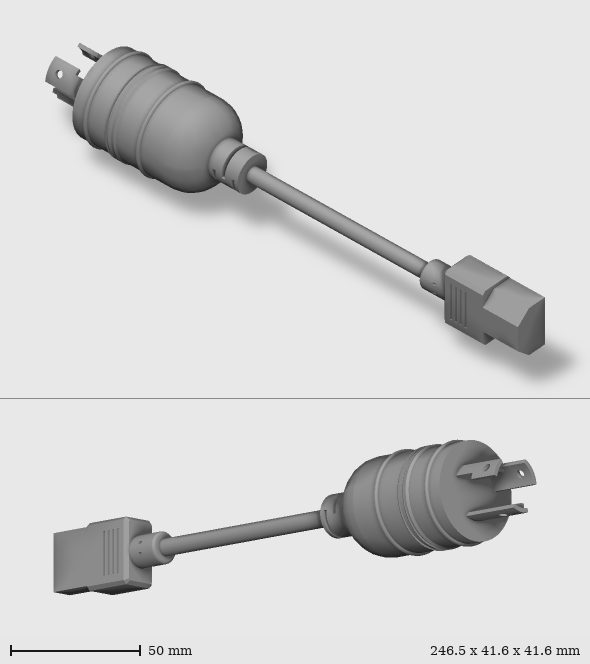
import cadquery as cq
import math


total_length = 246.5

rib_diameter = 41.6
rib_height = 1.0
rib_radius = rib_diameter / 2
housing_radius = rib_radius - rib_height
dome_start = 46.8
dome_end = 60.4

rib_positions = (7.0, 34.2)
rib_half_width = 1.0

lip_height = 0.7
lip_width = 1.0
front_lip_edge = 17.7
rear_lip_edges = (19.2, 22.0)

blade_inner_radius = 10.0
blade_outer_radius = 11.8
blade_thickness = blade_outer_radius - blade_inner_radius
line_blade_reach = 21.5
ground_blade_reach = 25.6
lug_length = 12.3
wide_blade_angles = (132, 174)
wide_lug_angles = (119, 174)
narrow_blade_angles = (22, 48)
narrow_lug_angles = (9, 48)
ground_blade_angles = (-104, -64)
hook_outer_y = -5.0
hook_bottom_z = -10.0
hook_top_z = -7.1
blade_hole_radius = 1.7
blade_hole_x = -16.0
ground_hole_y = 1.0

relief_radius = 8.6
relief_end = 75.6
slot_width = 1.7
slot_past_axis = 1.0
middle_slot_x = 68.2
slot_pitch = 5.0

cable_radius = 3.5

boss_start = 167.8
boss_radius = 6.5
boss_rim_fillet = 1.2
pocket_x = 175.7
pocket_length = 1.7
pocket_height = 1.0
pocket_z = 2.2
pocket_floor_y = 5.2

body_start = 181.3
body_end = 202.5
body_width = 15.5
body_height = 26.5
body_chamfer = 1.5
nose_end = total_length - ground_blade_reach
nose_height = 23.2
nose_bevel_width = 6.5
nose_bevel_height = 5.7

grip_count = 4
grip_first_x = 186.0
grip_pitch = 2.5
grip_width = 1.0
grip_height = 17.5
grip_depth = 0.5


def cross_plane(x):
    """Plane across the cable axis, with local axes along Y and Z."""
    return cq.Workplane("YZ", origin=(x, 0, 0))


def rod(radius, start, end):
    """Cylinder on the X axis."""
    plane = cq.Plane(origin=(start, 0, 0), xDir=(0, 0, 1), normal=(1, 0, 0))
    return cq.Workplane(plane).circle(radius).extrude(end - start)


def block(x_range, y_range, z_range):
    """Box between the given limits."""
    sizes = [high - low for low, high in (x_range, y_range, z_range)]
    corner = [low for low, high in (x_range, y_range, z_range)]
    return cq.Workplane("XY").box(*sizes, centered=False).translate(tuple(corner))


def around(center, length):
    """Limits of a length centred on a position."""
    return (center - length / 2, center + length / 2)



def add_rib(profile, x):
    return profile.lineTo(x - rib_half_width, -housing_radius).threePointArc(
        (x, -rib_radius), (x + rib_half_width, -housing_radius)
    )


def add_lip(profile, upright_x, slope_x):
    """Sawtooth between its upright side and the foot of its slope, drawn in order of X."""
    tip = (upright_x, -housing_radius - lip_height)
    start_x, end_x = sorted((upright_x, slope_x))
    return profile.lineTo(start_x, -housing_radius).lineTo(*tip).lineTo(end_x, -housing_radius)


def make_housing_shell():
    front_rib, rear_rib = rib_positions
    profile = cq.Workplane("XY").lineTo(0, -housing_radius)
    profile = add_rib(profile, front_rib)
    profile = add_lip(profile, front_lip_edge, front_lip_edge - lip_width)
    for edge in rear_lip_edges:
        profile = add_lip(profile, edge, edge + lip_width)
    profile = add_rib(profile, rear_rib)
    profile = (
        profile.lineTo(dome_start, -housing_radius)
        .tangentArcPoint((dome_end, -relief_radius), relative=False)
        .lineTo(dome_end, 0)
        .close()
    )
    return profile.revolve(360, (0, 0, 0), (1, 0, 0))


def ring_point(radius, angle):
    return (radius * math.cos(math.radians(angle)), radius * math.sin(math.radians(angle)))


def ring_sector(angles, start, end):
    """Arc-shaped strip of the blade ring between two angles and two X positions."""
    first, last = angles
    middle = (first + last) / 2
    return (
        cross_plane(start)
        .moveTo(*ring_point(blade_inner_radius, first))
        .threePointArc(ring_point(blade_inner_radius, middle), ring_point(blade_inner_radius, last))
        .lineTo(*ring_point(blade_outer_radius, last))
        .threePointArc(ring_point(blade_outer_radius, middle), ring_point(blade_outer_radius, first))
        .close()
        .extrude(end - start)
    )


def make_line_blade(blade_angles, lug_angles):
    """Blade with a wider lug at its tip and a radial hole through the lug."""
    blade = ring_sector(blade_angles, -line_blade_reach, 0)
    lug = ring_sector(lug_angles, -line_blade_reach, lug_length - line_blade_reach)
    hole = (
        cq.Workplane("XZ", origin=(blade_hole_x, 0, 0))
        .circle(blade_hole_radius)
        .extrude(-housing_radius)
        .rotate((0, 0, 0), (1, 0, 0), sum(lug_angles) / 2)
    )
    return blade.union(lug).cut(hole)


def make_ground_blade():
    """Longer blade with an inward hook along one edge and a vertical hole."""
    blade = ring_sector(ground_blade_angles, -ground_blade_reach, 0)
    lug_x = (-line_blade_reach, lug_length - line_blade_reach)
    foot_end_angle = math.degrees(math.asin(hook_outer_y / blade_outer_radius)) - 90
    foot = ring_sector((foot_end_angle, sum(ground_blade_angles) / 2), *lug_x)
    hook = block(lug_x, (hook_outer_y, hook_outer_y + blade_thickness), (hook_bottom_z, hook_top_z))
    hole = (
        cq.Workplane("XY", origin=(blade_hole_x, ground_hole_y, 0))
        .circle(blade_hole_radius)
        .extrude(-housing_radius)
    )
    return blade.union(foot).union(hook).cut(hole)


def make_plug():
    plug = make_housing_shell()
    plug = plug.union(make_line_blade(wide_blade_angles, wide_lug_angles))
    plug = plug.union(make_line_blade(narrow_blade_angles, narrow_lug_angles))
    return plug.union(make_ground_blade())



def make_strain_relief():
    relief = rod(relief_radius, dome_end, relief_end).cut(rod(cable_radius, dome_end, relief_end))
    through = (-relief_radius, relief_radius)
    from_top = (-slot_past_axis, relief_radius)
    from_bottom = (-relief_radius, slot_past_axis)
    relief = relief.cut(block(around(middle_slot_x, slot_width), through, from_top))
    for x in (middle_slot_x - slot_pitch, middle_slot_x + slot_pitch):
        relief = relief.cut(block(around(x, slot_width), through, from_bottom))
    return relief



def make_cable():
    return rod(cable_radius, dome_end, boss_start)



def make_boss():
    boss = rod(boss_radius, boss_start, body_start).faces("<X").edges().fillet(boss_rim_fillet)
    for y_range in ((pocket_floor_y, boss_radius), (-boss_radius, -pocket_floor_y)):
        for z in (-pocket_z, pocket_z):
            pocket = block(around(pocket_x, pocket_length), y_range, around(z, pocket_height))
            boss = boss.cut(pocket)
    return boss


def make_connector_body():
    side_y = body_width / 2
    body = block((body_start, body_end), around(0, body_width), around(0, body_height))
    body = body.edges("|X").chamfer(body_chamfer).faces("<X").chamfer(body_chamfer)
    for y_range in ((side_y - grip_depth, side_y), (-side_y, grip_depth - side_y)):
        for index in range(grip_count):
            x = grip_first_x + index * grip_pitch
            body = body.cut(block(around(x, grip_width), y_range, around(0, grip_height)))
    return body


def make_nose():
    """Nose with both corners on the -Y side bevelled."""
    side_y = body_width / 2
    top_z = nose_height / 2
    bevel_y = nose_bevel_width - side_y
    bevel_z = top_z - nose_bevel_height
    outline = [
        (side_y, top_z),
        (side_y, -top_z),
        (bevel_y, -top_z),
        (-side_y, -bevel_z),
        (-side_y, bevel_z),
        (bevel_y, top_z),
    ]
    return cross_plane(body_end).polyline(outline).close().extrude(nose_end - body_end)


def make_connector():
    return make_connector_body().union(make_boss()).union(make_nose())


plug = make_plug()
strain_relief = make_strain_relief()
cable = make_cable()
connector = make_connector()

result = cq.Compound.makeCompound(
    [body.solids().val() for body in (plug, strain_relief, cable, connector)]
)